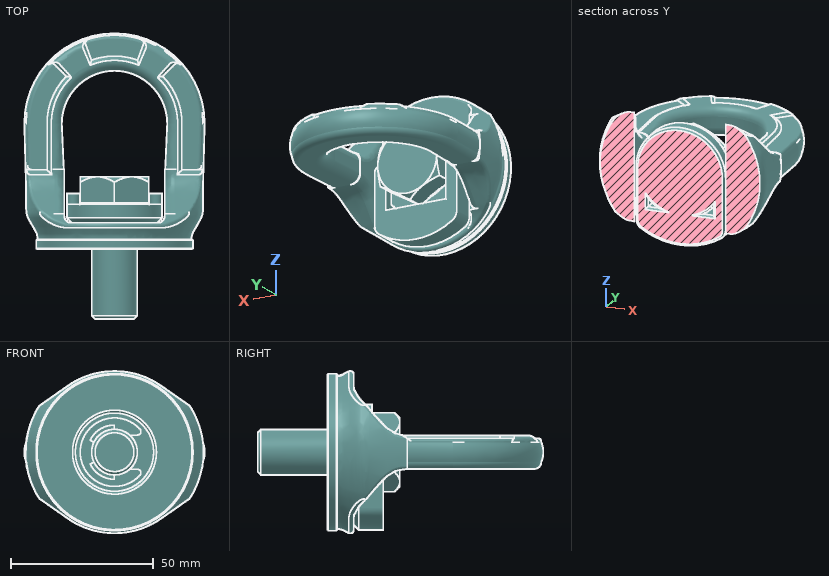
import cadquery as cq
import math


bow_top = 75.7
bow_outer_radius = 31.6
bow_inner_radius = 18.4
bow_height = 11.8
bow_center_y = bow_top - bow_outer_radius
bow_outer_flank = 0.7
bow_outer_fillet = 2.5
bow_inner_fillet = 3.8
leg_foot_y = 26.0
leg_foot_outer = 31.1
leg_foot_inner = 17.6

recess_depth = 1.0
recess_floor_z = bow_height / 2 - recess_depth
recess_spread = 1.5
recess_inner_radius = 23.6
recess_edge_fillet = 1.2
crown_recess_half_angle = 20.0
leg_recess_start_angle = 45.5
leg_recess_end_y = 27.8

saddle_bottom_y = 3.4
saddle_base_radius = 26.9
saddle_lobe_radius = 31.0
saddle_rim_radius = 28.4
saddle_rim_top_y = 9.3
saddle_lobe_angle = 35.0
saddle_top_y = 28.0
saddle_top_radius = 31.2
saddle_edge_fillet = 1.2
saddle_sweep_points = [
    (6.5, 24.1),
    (8.4, 20.9),
    (13.2, 16.3),
    (15.5, 14.4),
    (17.1, 12.9),
    (19.2, 10.9),
    (21.4, 9.7),
    (24.0, saddle_rim_top_y),
]
beyond_lobes = bow_outer_radius + 1
leg_inner_fillet = 3.5
leg_rounding_end_y = 12.5
opening_half_width = 17.5
opening_corner_radius = 2.3

flange_radius = 27.5
flange_thickness = 3.5
flange_chamfer = 0.4
flange_recess_radius = 14.7
flange_recess_depth = 1.1
flange_recess_chamfer = 1.0

clip_radius = 12.0
clip_thickness = 0.8
clip_gap_half_width = 6.0
clip_corner_radius = 1.2
clip_notch_radius = 9.5
clip_notch_angles = (91.0, 154.0)
clip_notch_depth = 1.6

shank_radius = 8.0
shank_length = 24.4
shank_chamfer = 1.2
head_across_flats = 24.0
head_bottom_y = 16.3
head_top_y = 25.4
head_corner_trim = 1.9
head_face_radius = 11.8

seat_radius = 16.7
seat_top_y = 15.7
seat_bottom_chamfer = 1.7
key_top_y = 19.6
key_end_radius = 27.3
key_shoulder_fillet = 4.0
key_slot_half_width = 12.2
key_slot_end_z = -14.5


def cylinder_y(radius, y_start, y_end):
    """Cylinder on the bolt axis."""
    disc = cq.Workplane("XZ", origin=(0, y_start, 0)).circle(radius)
    return disc.extrude(y_start - y_end)


def polar(radius, angle):
    """Point at a radius and an angle in degrees from the first axis."""
    turn = math.radians(angle)
    return (radius * math.cos(turn), radius * math.sin(turn))


def bow_section(plane, inner, outer):
    """Bow cross-section between two distances from the YZ plane: flat above, crowned outside."""
    half = bow_height / 2
    flank = outer - bow_outer_flank
    inner_straight = half - bow_inner_fillet
    outer_straight = half - bow_outer_fillet
    inner_bend = bow_inner_fillet * (1 - math.sqrt(0.5))
    outer_bend = bow_outer_fillet * (1 - math.sqrt(0.5))
    return (
        plane.moveTo(inner + bow_inner_fillet, -half)
        .lineTo(flank - bow_outer_fillet, -half)
        .threePointArc((flank - outer_bend, outer_bend - half), (flank, -outer_straight))
        .threePointArc((outer, 0), (flank, outer_straight))
        .threePointArc((flank - outer_bend, half - outer_bend), (flank - bow_outer_fillet, half))
        .lineTo(inner + bow_inner_fillet, half)
        .threePointArc((inner + inner_bend, half - inner_bend), (inner, inner_straight))
        .lineTo(inner, -inner_straight)
        .threePointArc((inner + inner_bend, inner_bend - half), (inner + bow_inner_fillet, -half))
        .close()
    )


def make_bow():
    springing = cq.Workplane("XZ", origin=(0, bow_center_y, 0))
    arch = bow_section(springing, bow_inner_radius, bow_outer_radius).revolve(180, (0, 0), (0, 1))
    leg_top = bow_section(springing, bow_inner_radius, bow_outer_radius)
    foot_plane = leg_top.workplane(offset=bow_center_y - leg_foot_y)
    leg = bow_section(foot_plane, leg_foot_inner, leg_foot_outer).loft(ruled=True)
    return arch.union(leg).union(leg.mirror("YZ"))


def crown_point(radius, angle):
    """Point at a radius and an angle from the crown, about the center of the bow."""
    turn = math.radians(angle)
    return (radius * math.sin(turn), bow_center_y + radius * math.cos(turn))


def recess_outline(plane, start_angle, end_angle, spread, leg_end_y=None):
    """Band along the bow, open outwards, widened on its other sides by the spread."""
    inner = recess_inner_radius - spread
    outer = bow_outer_radius + recess_depth
    angle_spread = math.degrees(spread / bow_outer_radius)
    start = start_angle - angle_spread
    end = end_angle if leg_end_y else end_angle + angle_spread
    middle = (start + end) / 2
    path = plane.moveTo(*crown_point(inner, start))
    path = path.threePointArc(crown_point(inner, middle), crown_point(inner, end))
    if leg_end_y:
        path = path.lineTo(inner, leg_end_y - spread).lineTo(outer, leg_end_y - spread)
    path = path.lineTo(*crown_point(outer, end))
    return path.threePointArc(crown_point(outer, middle), crown_point(outer, start)).close()


def make_recess(start_angle, end_angle, leg_end_y=None):
    """Recess cutter with a flat floor and sloping walls, rising clear of the upper face."""
    rise = 2 * recess_depth
    spread = 2 * recess_spread
    floor = cq.Workplane("XY", origin=(0, 0, recess_floor_z))
    bottom = recess_outline(floor, start_angle, end_angle, 0, leg_end_y)
    top = recess_outline(bottom.workplane(offset=rise), start_angle, end_angle, spread, leg_end_y)
    return top.loft(ruled=True)


def make_recesses():
    crown = make_recess(-crown_recess_half_angle, crown_recess_half_angle)
    leg = make_recess(leg_recess_start_angle, 90, leg_recess_end_y)
    return crown.union(leg).union(leg.mirror("YZ"))


def is_floor_rim(edge):
    """True for the long outer edges of the recess floors."""
    box = edge.BoundingBox()
    is_on_floor = box.zlen < 0.01 and abs(box.center.z - recess_floor_z) < 0.01
    middle = edge.positionAt(0.5)
    reach = math.hypot(middle.x, max(middle.y - bow_center_y, 0))
    is_outside = reach > bow_outer_radius - bow_outer_fillet
    return is_on_floor and is_outside and edge.Length() > bow_height


def make_recessed_bow(recesses):
    bow = make_bow().cut(recesses)
    rims = [edge for edge in bow.edges().vals() if is_floor_rim(edge)]
    return cq.Workplane(bow.val().fillet(recess_edge_fillet, rims))


def make_saddle_blank():
    """Turned body that flares from the flange out to the lobes."""
    return (
        cq.Workplane("XY")
        .moveTo(0, saddle_bottom_y)
        .lineTo(saddle_base_radius, saddle_bottom_y)
        .spline(
            [(28.1, 7.0), (30.1, 10.5), (saddle_lobe_radius, 14.5)],
            tangents=[(0, 1), (0, 1)],
            includeCurrent=True,
        )
        .lineTo(saddle_top_radius, saddle_top_y)
        .lineTo(0, saddle_top_y)
        .close()
        .revolve(360, (0, 0), (0, 1))
    )


def make_lobed_outline():
    """Outline along the bolt axis: a round rim running out into a lobe under each leg."""
    turn = math.radians(saddle_lobe_angle)
    tangent_x = saddle_rim_radius * math.sin(turn)
    tangent_z = saddle_rim_radius * math.cos(turn)
    lobe_z = tangent_z - (beyond_lobes - tangent_x) * math.tan(turn)
    return (
        cq.Workplane("XZ")
        .moveTo(-tangent_x, tangent_z)
        .threePointArc((0, saddle_rim_radius), (tangent_x, tangent_z))
        .lineTo(beyond_lobes, lobe_z)
        .lineTo(beyond_lobes, -lobe_z)
        .lineTo(tangent_x, -tangent_z)
        .threePointArc((0, -saddle_rim_radius), (-tangent_x, -tangent_z))
        .lineTo(-beyond_lobes, -lobe_z)
        .lineTo(-beyond_lobes, lobe_z)
        .close()
        .extrude(-saddle_top_y)
    )


def make_side_sweep():
    """Side outline: sweeps from the leg thickness out to the full rim."""
    upper_half = (
        cq.Workplane("ZY", origin=(beyond_lobes, 0, 0))
        .moveTo(0, saddle_top_y)
        .lineTo(bow_height / 2, saddle_top_y)
        .spline(saddle_sweep_points, tangents=[(0, -1), (1, 0)], includeCurrent=True)
        .lineTo(beyond_lobes, saddle_rim_top_y)
        .lineTo(beyond_lobes, saddle_bottom_y)
        .lineTo(0, saddle_bottom_y)
        .close()
        .extrude(2 * beyond_lobes)
    )
    return upper_half.union(upper_half.mirror("XY"))


def make_opening(floor_y):
    """Slot between the legs, open upwards and through along Z."""
    return (
        cq.Workplane("XY")
        .moveTo(-opening_half_width, floor_y)
        .lineTo(opening_half_width, floor_y)
        .lineTo(opening_half_width, saddle_top_y)
        .lineTo(-opening_half_width, saddle_top_y)
        .close()
        .extrude(beyond_lobes, both=True)
    )


def is_swept(face):
    """True for the saddle faces that follow the side sweep."""
    normal = face.normalAt()
    is_upper = saddle_rim_top_y - 0.1 < face.Center().y < saddle_top_y - 1
    return is_upper and abs(normal.x) < 0.01 and normal.y > 0


def is_leg_inner_edge(edge):
    """True for the long curved edges between the side sweep and the slot walls."""
    box = edge.BoundingBox()
    is_on_wall = box.xlen < 0.01 and abs(abs(box.center.x) - opening_half_width) < 0.01
    return is_on_wall and box.ylen > 1 and box.zlen > 1


def make_saddle():
    saddle = make_saddle_blank().intersect(make_lobed_outline()).intersect(make_side_sweep())
    swept_faces = [face for face in saddle.faces().vals() if is_swept(face)]
    swept_edges = {edge.hashCode(): edge for face in swept_faces for edge in face.Edges()}
    outer_edges = [edge for edge in swept_edges.values() if edge.BoundingBox().zlen > 0.1]
    saddle = cq.Workplane(saddle.val().fillet(saddle_edge_fillet, outer_edges))

    saddle = saddle.cut(make_opening(leg_rounding_end_y))
    leg_edges = [edge for edge in saddle.edges().vals() if is_leg_inner_edge(edge)]
    saddle = cq.Workplane(saddle.val().fillet(leg_inner_fillet, leg_edges))
    opening = make_opening(saddle_rim_top_y).edges("|Z and <Y").fillet(opening_corner_radius)
    return saddle.cut(opening)


def make_flange():
    flange = cylinder_y(flange_radius, 0, flange_thickness)
    flange = flange.faces("<Y or >Y").edges().chamfer(flange_chamfer)
    recess = cylinder_y(flange_recess_radius, 0, flange_recess_depth)
    return flange.cut(recess.faces(">Y").edges().chamfer(flange_recess_chamfer))


def make_clip():
    bottom = flange_recess_depth - clip_thickness
    ring = cylinder_y(clip_radius, bottom, flange_recess_depth)
    gap = (
        cq.Workplane("XZ")
        .center(clip_radius, 0)
        .rect(2 * clip_radius, 2 * clip_gap_half_width)
        .extrude(-flange_thickness)
    )
    clip = ring.cut(gap)
    return clip.edges("|Y").edges(">X").fillet(clip_corner_radius)


def make_clip_notches():
    """Pair of curved notches beside the shank, cut through the clip into the base."""
    bottom = flange_recess_depth - clip_thickness
    start, end = clip_notch_angles
    notch = (
        cq.Workplane("XZ", origin=(0, bottom, 0))
        .lineTo(*polar(clip_notch_radius, start))
        .threePointArc(polar(clip_notch_radius, (start + end) / 2), polar(clip_notch_radius, end))
        .close()
        .extrude(-clip_notch_depth)
    )
    return notch.union(notch.mirror("XY"))


def make_bolt():
    shank = cylinder_y(shank_radius, -shank_length, seat_top_y)
    shank = shank.faces("<Y").edges().chamfer(shank_chamfer)
    across_corners = head_across_flats / math.cos(math.radians(30))
    head = (
        cq.Workplane("XZ", origin=(0, head_bottom_y, 0))
        .polygon(6, across_corners)
        .extrude(head_bottom_y - head_top_y)
        .rotate((0, 0, 0), (0, 1, 0), 30)
    )
    turned = cylinder_y(across_corners / 2, head_bottom_y, head_top_y)
    turned = turned.faces(">Y").edges().chamfer(head_corner_trim)
    washer_face = cylinder_y(head_face_radius, seat_top_y, head_bottom_y)
    return shank.union(washer_face).union(head.intersect(turned))


def make_seat():
    seat = cylinder_y(seat_radius, saddle_rim_top_y, seat_top_y)
    return seat.faces("<Y").edges().chamfer(seat_bottom_chamfer)


def make_key():
    lug_radius = (seat_radius - key_slot_half_width) / 2
    key_shoulder_z = -math.sqrt(key_end_radius**2 - seat_radius**2)
    lug_center = key_slot_half_width + lug_radius
    plate = (
        cq.Workplane("XZ", origin=(0, saddle_rim_top_y, 0))
        .moveTo(seat_radius, 0)
        .threePointArc((lug_center, lug_radius), (key_slot_half_width, 0))
        .lineTo(key_slot_half_width, key_slot_end_z)
        .lineTo(-key_slot_half_width, key_slot_end_z)
        .lineTo(-key_slot_half_width, 0)
        .threePointArc((-lug_center, lug_radius), (-seat_radius, 0))
        .lineTo(-seat_radius, key_shoulder_z)
        .threePointArc((0, -key_end_radius), (seat_radius, key_shoulder_z))
        .close()
        .extrude(saddle_rim_top_y - key_top_y)
    )
    shoulders = [
        edge
        for edge in plate.edges("|Y").vals()
        if abs(edge.Center().z - key_shoulder_z) < 0.01
    ]
    plate = cq.Workplane(plate.val().fillet(key_shoulder_fillet, shoulders))
    return plate.faces("<Y").edges("not(<Z)").chamfer(seat_bottom_chamfer)


recesses = make_recesses()
body = make_recessed_bow(recesses).union(make_saddle().cut(recesses)).union(make_flange())
body = body.union(make_clip()).cut(make_clip_notches())
result = body.union(make_seat()).union(make_key()).union(make_bolt())